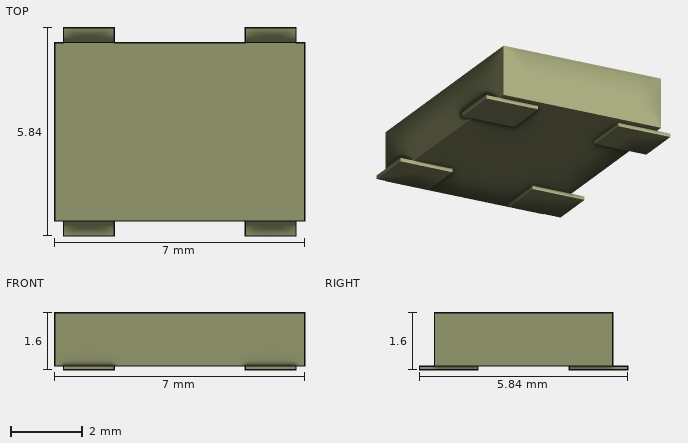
import cadquery as cq

housing_length = 7.0
housing_width = 5.0
total_height = 1.6

pad_length = 1.43
pad_depth = 1.645
pad_thickness = 0.105
pad_pitch = 5.09
pad_span = 5.84

housing_height = total_height - pad_thickness


def make_housing():
    """Plain block resting on top of the pads."""
    return (
        cq.Workplane("XY")
        .workplane(offset=pad_thickness)
        .box(housing_length, housing_width, housing_height, centered=(True, True, False))
    )


def make_pad(x_side, y_side):
    """Flat pad near one corner; each side is -1 or +1."""
    x_center = x_side * pad_pitch / 2
    y_center = y_side * (pad_span - pad_depth) / 2
    return (
        cq.Workplane("XY")
        .center(x_center, y_center)
        .box(pad_length, pad_depth, pad_thickness, centered=(True, True, False))
    )


housing = make_housing()
pads = [make_pad(x_side, y_side) for x_side in (-1, 1) for y_side in (-1, 1)]

result = cq.Compound.makeCompound([housing.val(), *[pad.val() for pad in pads]])